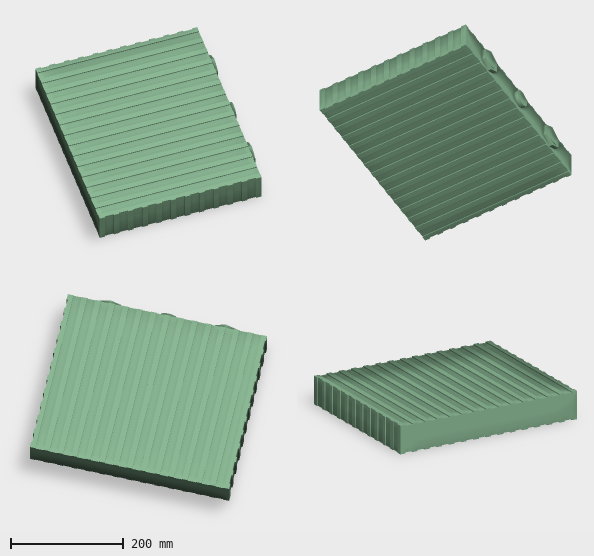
import cadquery as cq

case_length = 362.0
case_depth = 302.0
case_height = 54.0
rib_width = 10.0
groove_depth = 2.0
flat_face_ribs = 15
side_face_ribs = 12

collar_offset = 105.0
collar_across_corners = 46.5
collar_height = 7.0
fitting_diameter = 32.0
fitting_height = 8.0


def groove_layout(face_length, rib_count):
    """Groove width and groove centres along a face that starts and ends with a rib."""
    pitch = (face_length - rib_width) / (rib_count - 1)
    first_centre = (rib_width + pitch - face_length) / 2
    centres = [first_centre + index * pitch for index in range(rib_count - 1)]
    return pitch - rib_width, centres


def cut_flat_face_grooves(case):
    """Grooves along Y in the top and bottom faces."""
    width, centres = groove_layout(case_length, flat_face_ribs)
    for face_z in (-case_height / 2, case_height / 2):
        cutters = (
            cq.Workplane("XY", origin=(0, 0, face_z))
            .pushPoints([(x, 0) for x in centres])
            .box(width, case_depth, 2 * groove_depth)
        )
        case = case.cut(cutters)
    return case


def cut_side_face_grooves(case):
    """Upright grooves in the two X faces."""
    width, centres = groove_layout(case_depth, side_face_ribs)
    for face_x in (-case_length / 2, case_length / 2):
        cutters = (
            cq.Workplane("XY", origin=(face_x, 0, 0))
            .pushPoints([(0, y) for y in centres])
            .box(2 * groove_depth, width, case_height)
        )
        case = case.cut(cutters)
    return case


def end_plane(x):
    """Plane on the +Y end of the case, with its normal pointing out of the case."""
    return cq.Workplane(cq.Plane(origin=(x, case_depth / 2, 0), xDir=(0, 0, 1), normal=(0, 1, 0)))


def round_fitting(x):
    return end_plane(x).circle(fitting_diameter / 2).extrude(fitting_height)


def hex_collar(x):
    """Hex with corners up and down, and a low round rim standing out of it."""
    hexagon = end_plane(x).polygon(6, collar_across_corners).extrude(collar_height)
    return hexagon.union(round_fitting(x))


def make_case():
    case = cq.Workplane("XY").box(case_length, case_depth, case_height)
    case = cut_flat_face_grooves(case)
    case = cut_side_face_grooves(case)
    for x in (-collar_offset, collar_offset):
        case = case.union(hex_collar(x))
    return case


case = make_case()
plug = round_fitting(0)

result = cq.Compound.makeCompound([case.val(), plug.val()])